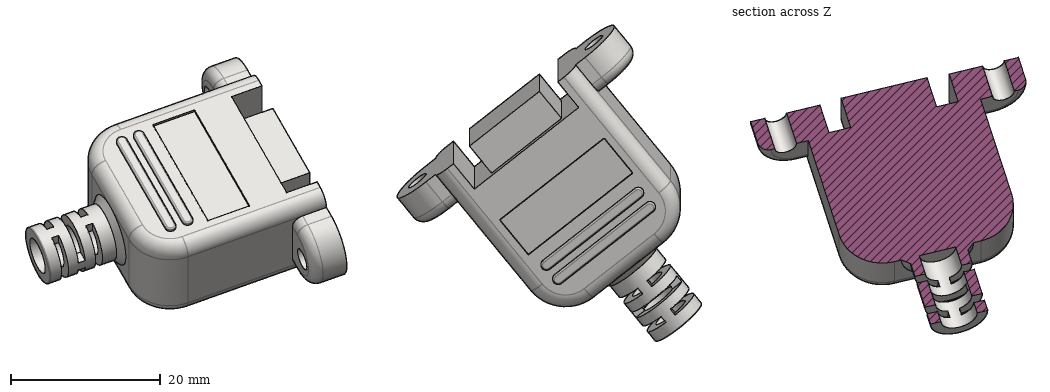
import cadquery as cq

body_width = 24.0
body_length = 26.3
body_height = 14.0
corner_radius = 6.0
body_edge_fillet = 2.0

mouth_width = 17.88
mouth_depth = 4.47
plug_width = 12.0
plug_height = 10.8
plug_overhang = 0.25

ear_span = 37.25
ear_height = 10.0
ear_thickness = 5.0
ear_edge_fillet = 1.5
ear_radius = ear_height / 2
ear_center_x = ear_span / 2 - ear_radius
screw_hole_diameter = 2.98
screw_hole_x = 15.12

label_width = mouth_width
label_length = 6.1
label_center_y = 13.35
label_depth = 0.37
ridge_length = 17.2
ridge_width = 1.5
overall_height = 15.0
ridge_height = (overall_height - body_height) / 2
ridge_top_fillet = 0.22
ridge_center_ys = (5.25, 7.75)

sleeve_diameter = 8.0
sleeve_length = 10.7
sleeve_bore_diameter = 5.0
collar_diameter = 10.02
collar_length = 0.9
sleeve_tip_fillet = 0.1
slot_width = 1.0
slot_pitch = 2.5
slot_count = 3
first_slot_y = -3.45
slot_web = 1.6


def make_housing():
    """Rounded box with a mouth cut through its full height."""
    housing = (
        cq.Workplane("XY")
        .box(body_width, body_length, body_height, centered=(True, False, True))
        .edges("|Z and <Y")
        .fillet(corner_radius)
        .faces("<Z or >Z")
        .edges("not >Y")
        .fillet(body_edge_fillet)
    )
    mouth = (
        cq.Workplane("XY")
        .box(mouth_width, mouth_depth, body_height, centered=(True, False, True))
        .translate((0, body_length - mouth_depth, 0))
    )
    return housing.cut(mouth)


def make_plug():
    """Block standing on the mouth floor and passing just beyond the housing."""
    return (
        cq.Workplane("XY")
        .box(plug_width, mouth_depth + plug_overhang, plug_height, centered=(True, False, True))
        .translate((0, body_length - mouth_depth, 0))
    )


def make_ear(side):
    """Round-ended ear on one side (+1 or -1), reaching in to the mouth wall's outer half."""
    inner_x = (mouth_width + body_width) / 4
    ear = (
        cq.Workplane("XZ", origin=(0, body_length, 0))
        .moveTo(side * inner_x, ear_radius)
        .lineTo(side * ear_center_x, ear_radius)
        .threePointArc((side * ear_span / 2, 0), (side * ear_center_x, -ear_radius))
        .lineTo(side * inner_x, -ear_radius)
        .close()
        .extrude(ear_thickness)
    )
    inner_edge = "<X" if side > 0 else ">X"
    ear = ear.faces("<Y").edges(f"not {inner_edge}").fillet(ear_edge_fillet)
    screw_hole = (
        cq.Workplane("XZ", origin=(side * screw_hole_x, body_length, 0))
        .circle(screw_hole_diameter / 2)
        .extrude(ear_thickness)
    )
    return ear.cut(screw_hole)


def make_label_recess():
    """Cutter for the label recess in the +Z face."""
    return (
        cq.Workplane("XY", origin=(0, label_center_y, body_height / 2 - label_depth))
        .rect(label_width, label_length)
        .extrude(label_depth)
    )


def make_ridges():
    """Grip ridges on the +Z face."""
    return (
        cq.Workplane("XY", origin=(0, 0, body_height / 2))
        .pushPoints([(0, y) for y in ridge_center_ys])
        .slot2D(ridge_length, ridge_width)
        .extrude(ridge_height)
        .faces(">Z")
        .edges()
        .fillet(ridge_top_fillet)
    )


def mirrored_in_z(shape):
    """The shape together with its reflection below the middle plane."""
    return shape.union(shape.mirror("XY"))


def make_sleeve():
    """Bored cable sleeve with a conical collar; slot pairs alternate between X and Z sides."""
    profile = [
        (sleeve_bore_diameter / 2, 0),
        (collar_diameter / 2, 0),
        (sleeve_diameter / 2, -collar_length),
        (sleeve_diameter / 2, -sleeve_length),
        (sleeve_bore_diameter / 2, -sleeve_length),
    ]
    sleeve = cq.Workplane("XY").polyline(profile).close().revolve(360, (0, 0, 0), (0, 1, 0))
    outer_tip_edge = cq.selectors.RadiusNthSelector(1)
    sleeve = sleeve.faces("<Y").edges(outer_tip_edge).fillet(sleeve_tip_fillet)
    slot_offset = (slot_web + sleeve_diameter) / 2
    for index in range(slot_count):
        slot_y = first_slot_y - index * slot_pitch
        for side in (-1, 1):
            slot = (
                cq.Workplane("XY")
                .box(sleeve_diameter, slot_width, sleeve_diameter)
                .translate((side * slot_offset, slot_y, 0))
            )
            if index % 2 == 1:
                slot = slot.rotate((0, 0, 0), (0, 1, 0), 90)
            sleeve = sleeve.cut(slot)
    return sleeve


result = make_housing().union(make_plug())
for ear_side in (-1, 1):
    result = result.union(make_ear(ear_side))
result = result.cut(mirrored_in_z(make_label_recess()))
result = result.union(mirrored_in_z(make_ridges()))
result = result.union(make_sleeve())